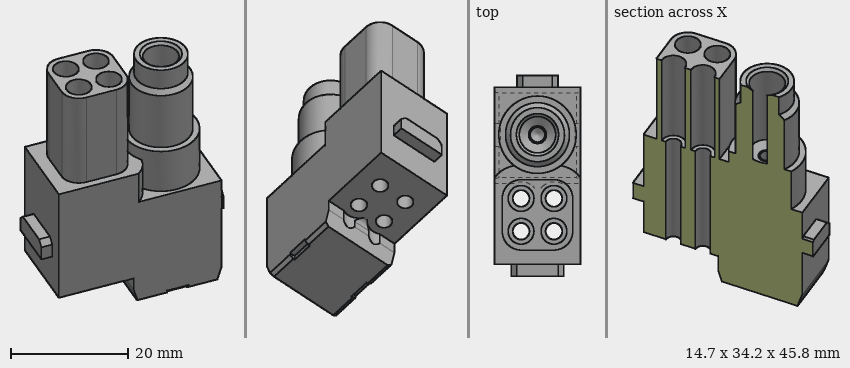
import cadquery as cq
import math

WIDTH = 14.65
LENGTH = 30.2
BACK = LENGTH / 2
FRONT = -BACK
HOUSING_TOP = 27.53
SHELF_TOP = 21.5
FRONT_UNDERSIDE = 5.45

STEP_CORNER_RADIUS = 5.18
STEP_CORNER_X = 3.15
STEP_Y = 1.8

FOOT_FRONT = -1.25
FOOT_TAPER_HEIGHT = 3.0
FOOT_TAPER_DEPTH = 0.95
FOOT_CHAMFER_WIDTH = 0.75
FOOT_CHAMFER_HEIGHT = 0.6
FOOT_FILLET = 1.0
NOTCH_LENGTH = 4.0
NOTCH_HEIGHT = 1.0
NOTCH_DEPTH = 1.0

TAB_REACH = 2.0
TAB_BOTTOM = 12.3
TAB_HEIGHT = 3.55
TAB_CHAMFER = 1.0
FRONT_TAB_WIDTH = 9.0
BACK_TAB_WIDTH = 7.0

BLOCK_Y = -6.65
BLOCK_WIDTH = 12.0
BLOCK_TOP = 45.55
CONTACT_SPACING = 5.6
BLOCK_CORNER_RADIUS = (BLOCK_WIDTH - CONTACT_SPACING) / 2
CONTACT_BORE_DIAMETER = 4.4
CONTACT_BORE_FLOOR = HOUSING_TOP
CONTACT_HOLE_DIAMETER = 2.8
CONTACT_CLEARANCE_DIAMETER = 5.75

TOWER_Y = 7.0
TOWER_TOP = 45.8
TOWER_BASE_DIAMETER = 13.2
TOWER_BASE_TOP = 29.95
TOWER_SHAFT_DIAMETER = 10.9
TOWER_SHAFT_TOP = 41.0
TOWER_TIP_DIAMETER = 9.2
TOWER_CONE_TOP = 41.85

BORE_DIAMETER = 6.2
BORE_MOUTH_CHAMFER = 0.5
BORE_FLOOR = TOWER_BASE_TOP
PILOT_MOUTH_DIAMETER = 3.0
PILOT_MOUTH_DEPTH = 0.95
PILOT_DIAMETER = 2.5
PILOT_DEPTH = 4.6
PILOT_TIP_HEIGHT = 0.75


def box(x_size, y_min, y_max, z_min, z_max, x_middle=0.0):
    size_y = y_max - y_min
    size_z = z_max - z_min
    solid = cq.Workplane("XY").box(x_size, size_y, size_z, centered=(True, False, False))
    return solid.translate((x_middle, y_min, z_min))


def revolve_about_tower(profile):
    """Turn a closed (radius, height) outline about the tower axis."""
    outline = cq.Workplane("YZ").polyline(profile).close()
    return outline.revolve(360, (0, 0, 0), (0, 1, 0)).translate((0, TOWER_Y, 0))


def make_lower_housing():
    """Side outline with the stepped underside and the tapered foot, extruded across the width."""
    outline = [
        (FRONT, FRONT_UNDERSIDE),
        (FOOT_FRONT, FRONT_UNDERSIDE),
        (FOOT_FRONT, FOOT_TAPER_HEIGHT),
        (FOOT_FRONT + FOOT_TAPER_DEPTH, 0),
        (BACK - FOOT_TAPER_DEPTH, 0),
        (BACK, FOOT_TAPER_HEIGHT),
        (BACK, SHELF_TOP),
        (FRONT, SHELF_TOP),
    ]
    return cq.Workplane("YZ").polyline(outline).close().extrude(WIDTH / 2, both=True)


def make_foot_fillet():
    """Concave fillet under the housing, in the middle of the foot's front face."""
    front = FOOT_FRONT - FOOT_FILLET
    bottom = FRONT_UNDERSIDE - FOOT_FILLET
    strip = box(CONTACT_SPACING, front, FOOT_FRONT, bottom, FRONT_UNDERSIDE)
    start = -CONTACT_SPACING / 2
    hollow = cq.Workplane("YZ", origin=(start, front, bottom)).circle(FOOT_FILLET).extrude(CONTACT_SPACING)
    return strip.cut(hollow)


def make_raised_front():
    """Front half raised above the shelf; large arcs round its rear corners up to the side faces."""
    half = WIDTH / 2
    arc_y = STEP_Y - STEP_CORNER_RADIUS
    side_end_y = arc_y + math.sqrt(STEP_CORNER_RADIUS**2 - (half - STEP_CORNER_X) ** 2)
    return (
        cq.Workplane("XY", origin=(0, 0, SHELF_TOP))
        .moveTo(-half, FRONT)
        .lineTo(half, FRONT)
        .lineTo(half, side_end_y)
        .radiusArc((STEP_CORNER_X, STEP_Y), -STEP_CORNER_RADIUS)
        .lineTo(-STEP_CORNER_X, STEP_Y)
        .radiusArc((-half, side_end_y), -STEP_CORNER_RADIUS)
        .close()
        .extrude(HOUSING_TOP - SHELF_TOP)
    )


def make_tab(width, y_min):
    """Latch tab with chamfered upper corners."""
    tab = box(width, y_min, y_min + TAB_REACH, TAB_BOTTOM, TAB_BOTTOM + TAB_HEIGHT)
    return tab.faces(">Z").edges("|Y").chamfer(TAB_CHAMFER)


def make_contact_block():
    half = BLOCK_WIDTH / 2
    block = box(BLOCK_WIDTH, BLOCK_Y - half, BLOCK_Y + half, SHELF_TOP, BLOCK_TOP)
    return block.edges("|Z").fillet(BLOCK_CORNER_RADIUS)


def make_contact_cylinders(diameter, z_min, z_max):
    """Four equal cylinders on the contact axes."""
    cylinder = cq.Workplane("XY", origin=(0, 0, z_min)).circle(diameter / 2).extrude(z_max - z_min)
    offset = CONTACT_SPACING / 2
    cylinders = cq.Workplane("XY")
    for x in (-offset, offset):
        for y in (BLOCK_Y - offset, BLOCK_Y + offset):
            cylinders = cylinders.union(cylinder.translate((x, y, 0)))
    return cylinders


def make_tower():
    return revolve_about_tower([
        (0, SHELF_TOP),
        (TOWER_BASE_DIAMETER / 2, SHELF_TOP),
        (TOWER_BASE_DIAMETER / 2, TOWER_BASE_TOP),
        (TOWER_SHAFT_DIAMETER / 2, TOWER_BASE_TOP),
        (TOWER_SHAFT_DIAMETER / 2, TOWER_SHAFT_TOP),
        (TOWER_TIP_DIAMETER / 2, TOWER_CONE_TOP),
        (TOWER_TIP_DIAMETER / 2, TOWER_TOP),
        (0, TOWER_TOP),
    ])


def make_tower_bore():
    pilot_top = BORE_FLOOR - PILOT_MOUTH_DEPTH
    pilot_floor = pilot_top - PILOT_DEPTH
    return revolve_about_tower([
        (0, TOWER_TOP),
        (BORE_DIAMETER / 2 + BORE_MOUTH_CHAMFER, TOWER_TOP),
        (BORE_DIAMETER / 2, TOWER_TOP - BORE_MOUTH_CHAMFER),
        (BORE_DIAMETER / 2, BORE_FLOOR),
        (PILOT_MOUTH_DIAMETER / 2, pilot_top),
        (PILOT_DIAMETER / 2, pilot_top),
        (PILOT_DIAMETER / 2, pilot_floor),
        (0, pilot_floor - PILOT_TIP_HEIGHT),
    ])


def make_foot_side_cutter():
    """Chamfers along the lower side edges of the foot, and the notch in the middle of each."""
    half = WIDTH / 2
    chamfer = (
        cq.Workplane("XZ")
        .polyline([(half, 0), (half, FOOT_CHAMFER_HEIGHT), (half - FOOT_CHAMFER_WIDTH, 0)])
        .close()
        .extrude(LENGTH / 2, both=True)
    )
    notch_start = TOWER_Y - NOTCH_LENGTH / 2
    notch = box(NOTCH_DEPTH, notch_start, notch_start + NOTCH_LENGTH, 0, NOTCH_HEIGHT, half - NOTCH_DEPTH / 2)
    one_side = chamfer.union(notch)
    return one_side.union(one_side.mirror("YZ"))


body = make_lower_housing()
body = body.union(make_foot_fillet())
body = body.cut(make_contact_cylinders(CONTACT_CLEARANCE_DIAMETER, 0, FRONT_UNDERSIDE))
body = body.cut(make_foot_side_cutter())

body = body.union(make_raised_front())
body = body.union(make_contact_block())
body = body.union(make_tower())
body = body.union(make_tab(FRONT_TAB_WIDTH, FRONT - TAB_REACH))
body = body.union(make_tab(BACK_TAB_WIDTH, BACK))

body = body.cut(make_contact_cylinders(CONTACT_HOLE_DIAMETER, 0, BLOCK_TOP))
body = body.cut(make_contact_cylinders(CONTACT_BORE_DIAMETER, CONTACT_BORE_FLOOR, BLOCK_TOP))
result = body.cut(make_tower_bore())